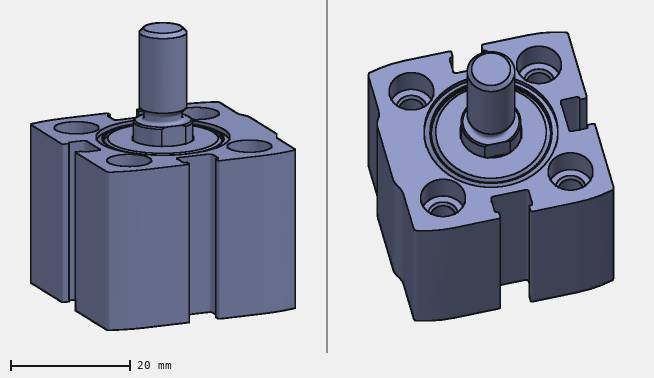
import cadquery as cq
import math

housing_height = 27.55
half_width = 17.25
side_flat_half = 10.65
side_arc_radius = 20.92
corner_fillet = 0.65

strip_height = 0.98
strip_flat_half = 5.2
strip_foot_half = 8.75

slot_mouth_half = 2.6
slot_inner_half = 3.25
slot_angles = (0, 180, 270)
slot_depth = 4.5
slot_lip = 1.25
slot_fillet = 0.45
lip_fillet = 0.33

bolt_spacing = 22.0
bolt_hole_d = 4.15
bolt_countersink_d = 5.05
bolt_counterbore_d = 7.5
bolt_counterbore_depth = 5.1

recess_wall_r = 11.2
recess_depth = 0.85
ridge_outer_r = 10.25
ridge_outer_depth = 0.3
ridge_inner_r = 10.0
ridge_inner_depth = 0.35
groove_depth = 0.9
face_edge_r = 9.25
face_edge_depth = 0.25
face_r = 9.05
face_depth = 0.2

rod_top = 46.5
stud_d = 8.0
stud_length = 13.7
stud_chamfer = 0.75
neck_d = 6.4
neck_fillet = 0.55
collar_d = 10.0
collar_top = 30.55
collar_chamfer = 0.3
across_flats = 8.97
rod_gap = 0.2
rod_gap_depth = 1.85
flats_depth = 1.0
flats_end_angle = 30.0
rod_embedment = 10.0


def body_block():
    """Square block with bowed sides and rounded corners."""
    arc_centre_x = half_width - side_arc_radius
    corner_x = arc_centre_x + math.sqrt(side_arc_radius**2 - (half_width - side_flat_half) ** 2)
    mid_angle = math.asin((half_width - side_flat_half) / side_arc_radius) / 2
    arc_mid_x = arc_centre_x + side_arc_radius * math.cos(mid_angle)
    arc_mid_y = side_flat_half + side_arc_radius * math.sin(mid_angle)
    profile = (
        cq.Workplane("XY")
        .moveTo(corner_x, -half_width)
        .threePointArc((arc_mid_x, -arc_mid_y), (half_width, -side_flat_half))
        .lineTo(half_width, side_flat_half)
        .threePointArc((arc_mid_x, arc_mid_y), (corner_x, half_width))
        .lineTo(-corner_x, half_width)
        .threePointArc((-arc_mid_x, arc_mid_y), (-half_width, side_flat_half))
        .lineTo(-half_width, -side_flat_half)
        .threePointArc((-arc_mid_x, -arc_mid_y), (-corner_x, -half_width))
        .close()
        .extrude(housing_height)
    )
    return profile.edges("|Z").edges("<Y or >Y").fillet(corner_fillet)


def raised_strip():
    """Shallow rib on the +Y face, reaching inwards to the rod axis so that it joins the block."""
    blend_mid_x = (strip_flat_half + strip_foot_half) / 2
    blend_mid_y = half_width + strip_height / 2
    strip_y = half_width + strip_height
    return (
        cq.Workplane("XY")
        .moveTo(-strip_foot_half, half_width)
        .sagittaArc((-blend_mid_x, blend_mid_y), -blend_sagitta())
        .sagittaArc((-strip_flat_half, strip_y), blend_sagitta())
        .lineTo(strip_flat_half, strip_y)
        .sagittaArc((blend_mid_x, blend_mid_y), blend_sagitta())
        .sagittaArc((strip_foot_half, half_width), -blend_sagitta())
        .lineTo(strip_foot_half, 0)
        .lineTo(-strip_foot_half, 0)
        .close()
        .extrude(housing_height)
    )


def blend_sagitta():
    """Bulge of each flank arc, tangent to the flat that it starts from."""
    half_run = (strip_foot_half - strip_flat_half) / 2
    half_rise = strip_height / 2
    chord = math.hypot(half_run, half_rise)
    chord_angle = math.atan2(half_rise, half_run)
    return chord / 2 * math.tan(chord_angle / 2)


def slot(angle):
    """T-slot cutter opening towards +X, then turned about the rod axis."""
    floor_x = half_width - slot_depth
    lip_x = half_width - slot_lip
    chamber = (
        cq.Workplane("XY")
        .box(lip_x - floor_x, 2 * slot_inner_half, housing_height, centered=(False, True, False))
        .edges("|Z")
        .fillet(slot_fillet)
        .translate((floor_x, 0, 0))
    )
    mouth = (
        cq.Workplane("XY")
        .moveTo(floor_x + slot_fillet, -slot_mouth_half)
        .lineTo(half_width - lip_fillet, -slot_mouth_half)
        .radiusArc((half_width, -slot_mouth_half - lip_fillet), lip_fillet)
        .lineTo(half_width, slot_mouth_half + lip_fillet)
        .radiusArc((half_width - lip_fillet, slot_mouth_half), lip_fillet)
        .lineTo(floor_x + slot_fillet, slot_mouth_half)
        .close()
        .extrude(housing_height)
    )
    return chamber.union(mouth).rotate((0, 0, 0), (0, 0, 1), angle)


def bolt_hole_cutter():
    """Through hole with a 45 degree countersink below a counterbore."""
    bore_r = bolt_hole_d / 2
    sink_r = bolt_countersink_d / 2
    counterbore_r = bolt_counterbore_d / 2
    floor_z = housing_height - bolt_counterbore_depth
    return (
        cq.Workplane("XZ")
        .polyline([
            (0, 0),
            (bore_r, 0),
            (bore_r, floor_z - (sink_r - bore_r)),
            (sink_r, floor_z),
            (counterbore_r, floor_z),
            (counterbore_r, housing_height),
            (0, housing_height),
        ])
        .close()
        .revolve(360, (0, 0), (0, 1))
    )


def rod_opening():
    """Ridged recess with a groove, clearance ring, and the blind bore that the rod fills."""
    rod_r = collar_d / 2
    gap_r = rod_r + rod_gap
    return (
        cq.Workplane("XZ")
        .polyline([
            (0, housing_height),
            (recess_wall_r, housing_height),
            (recess_wall_r, housing_height - recess_depth),
            (ridge_outer_r, housing_height - ridge_outer_depth),
            (ridge_inner_r, housing_height - ridge_inner_depth),
            (ridge_inner_r, housing_height - groove_depth),
            (face_edge_r, housing_height - face_edge_depth),
            (face_r, housing_height - face_depth),
            (gap_r, housing_height - face_depth),
            (gap_r, housing_height - rod_gap_depth),
            (rod_r, housing_height - rod_gap_depth),
            (rod_r, housing_height - rod_embedment),
            (0, housing_height - rod_embedment),
        ])
        .close()
        .revolve(360, (0, 0), (0, 1))
    )


def make_housing():
    body = body_block().union(raised_strip())
    for angle in slot_angles:
        body = body.cut(slot(angle))
    bolt_offset = bolt_spacing / 2
    for x in (-bolt_offset, bolt_offset):
        for y in (-bolt_offset, bolt_offset):
            body = body.cut(bolt_hole_cutter().translate((x, y, 0)))
    return body.cut(rod_opening())


def shank():
    """Part of the rod inside the housing, with the cone on which the wrench flats end."""
    rod_r = collar_d / 2
    cone_z = housing_height - flats_depth
    cone_rise = rod_r * math.tan(math.radians(flats_end_angle))
    return (
        cq.Workplane("XZ")
        .polyline([
            (0, housing_height - rod_embedment),
            (rod_r, housing_height - rod_embedment),
            (rod_r, cone_z),
            (0, cone_z + cone_rise),
        ])
        .close()
        .revolve(360, (0, 0), (0, 1))
    )


def collar():
    """Wrench collar, running down past the housing face to the end of its flats."""
    collar_bottom = housing_height - rod_gap_depth
    height = collar_top - collar_bottom
    between_flats = cq.Workplane("XY").box(across_flats, collar_d, height, centered=(True, True, False))
    return (
        cq.Workplane("XY")
        .circle(collar_d / 2)
        .extrude(height)
        .faces(">Z")
        .chamfer(collar_chamfer)
        .intersect(between_flats)
        .translate((0, 0, collar_bottom))
    )


def stud():
    """Round end of the rod, necked down above the collar with rounded transitions."""
    stud_r = stud_d / 2
    neck_r = neck_d / 2
    stud_bottom = rod_top - stud_length
    diagonal = math.sqrt(0.5)
    cone_end_r = neck_r + neck_fillet * (1 - diagonal)
    cone_end_z = stud_bottom - (stud_r - cone_end_r)
    neck_top = cone_end_z - neck_fillet * diagonal
    neck_bottom = collar_top + neck_fillet
    return (
        cq.Workplane("XZ")
        .moveTo(0, collar_top)
        .lineTo(neck_r + neck_fillet, collar_top)
        .radiusArc((neck_r, neck_bottom), neck_fillet)
        .lineTo(neck_r, neck_top)
        .radiusArc((cone_end_r, cone_end_z), neck_fillet)
        .lineTo(stud_r, stud_bottom)
        .lineTo(stud_r, rod_top - stud_chamfer)
        .lineTo(stud_r - stud_chamfer, rod_top)
        .lineTo(0, rod_top)
        .close()
        .revolve(360, (0, 0), (0, 1))
    )


def make_rod():
    return shank().union(collar()).union(stud())


housing = make_housing()
rod = make_rod()
result = cq.Compound.makeCompound([housing.solids().val(), rod.solids().val()])